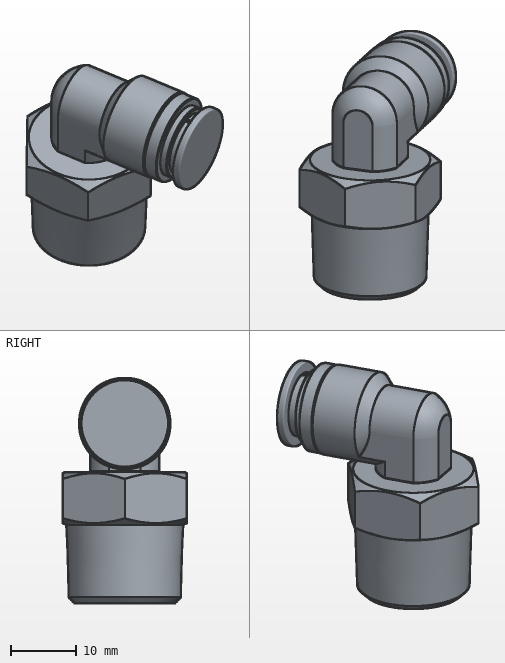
import cadquery as cq
import math


hex_across_flats = 19.0
hex_bottom = 12.0
hex_top = 20.05
hex_face_radius = 9.2
hex_top_chamfer_angle = 30.0
hex_bottom_chamfer_angle = 26.0
thread_top_radius = 8.97
thread_end_radius = 8.62
thread_chamfer_width = 0.95
thread_chamfer_height = 0.93

total_height = 34.5
barrel_radius = 7.0
outlet_z = total_height - barrel_radius
stem_half_width = 5.28
stem_corner_radius = 5.8
stem_foot_chamfer = 0.2
heel_end = -math.sqrt(stem_corner_radius**2 - stem_half_width**2)
cone_start = 4.97
barrel_start = cone_start + barrel_radius - stem_half_width
barrel_end = 13.73
tail_step_length = 0.28
tail_radius = 6.9
tail_end = 16.08
tail_edge_chamfer = 0.1
collar_radius = 5.75
collar_end = 17.3
collar_edge_chamfer = 0.15
neck_radius = 4.97
flange_start = 18.75
flange_end = 20.0
flange_radius = 6.62
flange_edge_fillet = 0.25
slot_width = 0.5


def make_stud():
    """Tapered thread blank below a hexagon chamfered on both faces."""
    hex_corner_radius = hex_across_flats / math.sqrt(3)
    top_drop = (hex_corner_radius - hex_face_radius) * math.tan(math.radians(hex_top_chamfer_angle))
    bottom_rise = (hex_corner_radius - thread_top_radius) * math.tan(math.radians(hex_bottom_chamfer_angle))
    hexagon = (
        cq.Workplane("XY")
        .workplane(offset=hex_bottom)
        .polygon(6, 2 * hex_corner_radius)
        .extrude(hex_top - hex_bottom)
    )
    envelope = (
        cq.Workplane("XZ")
        .moveTo(0, hex_bottom)
        .lineTo(thread_top_radius, hex_bottom)
        .lineTo(hex_corner_radius, hex_bottom + bottom_rise)
        .lineTo(hex_corner_radius, hex_top - top_drop)
        .lineTo(hex_face_radius, hex_top)
        .lineTo(0, hex_top)
        .close()
        .revolve(360, (0, 0, 0), (0, 1, 0))
    )
    thread = (
        cq.Workplane("XZ")
        .lineTo(thread_end_radius - thread_chamfer_width, 0)
        .lineTo(thread_end_radius, thread_chamfer_height)
        .lineTo(thread_top_radius, hex_bottom)
        .lineTo(0, hex_bottom)
        .close()
        .revolve(360, (0, 0, 0), (0, 1, 0))
    )
    return hexagon.intersect(envelope).union(thread)


def outlet_cylinder(radius, start, end):
    """Solid cylinder on the outlet axis between two X positions."""
    return (
        cq.Workplane("YZ", origin=(start, 0, outlet_z))
        .circle(radius)
        .extrude(end - start)
    )


def make_stem():
    """Upright square stem with round corners and a chamfered foot, up to the outlet axis."""
    height = outlet_z - hex_top
    width = 2 * stem_half_width
    base = cq.Workplane("XY").workplane(offset=hex_top)
    square = base.rect(width, width).extrude(height)
    round_bar = base.circle(stem_corner_radius).extrude(height)
    return square.intersect(round_bar).faces("<Z").chamfer(stem_foot_chamfer)


def make_heel():
    """Ball on the bend, cut by the arm cylinder and the stem's back flat."""
    ball = cq.Workplane("XY", origin=(0, 0, outlet_z)).sphere(stem_corner_radius)
    return ball.intersect(outlet_cylinder(stem_half_width, -stem_half_width, heel_end))


def make_web():
    """Flat-sided web under the arm whose underside continues the barrel's surface."""
    web_block = cq.Workplane("XY", origin=(0, 0, outlet_z)).box(
        barrel_start, 2 * stem_half_width, barrel_radius, centered=(False, True, False)
    ).translate((0, 0, -barrel_radius))
    return web_block.intersect(outlet_cylinder(barrel_radius, 0, barrel_start))


def make_outlet():
    """Turned arm, shoulder, barrel, tail and collar along the outlet axis."""
    return (
        cq.Workplane("XY", origin=(0, 0, outlet_z))
        .moveTo(heel_end, 0)
        .lineTo(heel_end, stem_half_width)
        .lineTo(cone_start, stem_half_width)
        .lineTo(barrel_start, barrel_radius)
        .lineTo(barrel_end, barrel_radius)
        .lineTo(barrel_end + tail_step_length, tail_radius)
        .lineTo(tail_end - tail_edge_chamfer, tail_radius)
        .lineTo(tail_end, tail_radius - tail_edge_chamfer)
        .lineTo(tail_end, collar_radius)
        .lineTo(collar_end - collar_edge_chamfer, collar_radius)
        .lineTo(collar_end, collar_radius - collar_edge_chamfer)
        .lineTo(collar_end, 0)
        .close()
        .revolve(360, (0, 0, 0), (1, 0, 0))
    )


def make_release_end():
    """Neck split by a vertical slot, ending in a round-edged push flange."""
    neck_length = flange_start - collar_end
    slot = cq.Workplane("XY", origin=(collar_end, 0, outlet_z)).box(
        neck_length, slot_width, 2 * neck_radius, centered=(False, True, True)
    )
    neck = outlet_cylinder(neck_radius, collar_end, flange_start).cut(slot)
    flange = outlet_cylinder(flange_radius, flange_start, flange_end).edges().fillet(flange_edge_fillet)
    return neck.union(flange)


def make_elbow():
    elbow = make_stem().union(make_heel()).union(make_web())
    return elbow.union(make_outlet()).union(make_release_end())


stud = make_stud()
elbow = make_elbow()

result = cq.Compound.makeCompound([stud.val(), elbow.val()])